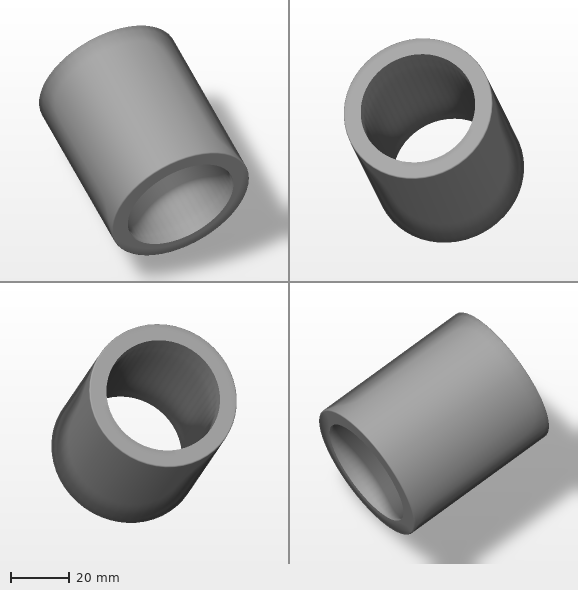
import cadquery as cq

length = 60.0
outer_diameter = 52.0
bore_diameter = 40.0
rim_fillet = 0.5

sleeve = (
    cq.Workplane("YZ", origin=(-length / 2, 0, 0))
    .circle(outer_diameter / 2)
    .circle(bore_diameter / 2)
    .extrude(length)
)

rim_selector = cq.selectors.RadiusNthSelector(-1)
result = sleeve.faces("<X or >X").edges(rim_selector).fillet(rim_fillet)